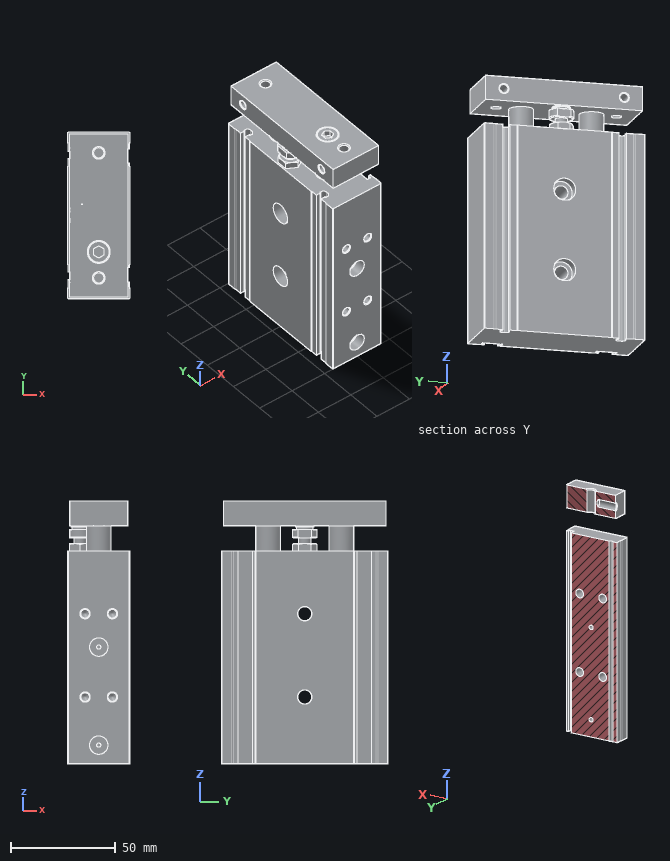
import cadquery as cq
import math


HOUSING_X = 30.0
HOUSING_Y = 80.0
HOUSING_Z = 102.0
CORNER_CHAMFER = 0.4

STRIP_DEPTH = 0.3
STRIP_INNER_Y = 23.3
STRIP_INNER_RAMP = 0.5
STRIP_OUTER_Y = 35.2
STRIP_OUTER_RAMP = 0.9

SENSOR_SLOT_Y = 29.0
SENSOR_SLOT_WIDTH = 3.5
SENSOR_SLOT_CHAMBER_WIDTH = 4.5
SENSOR_SLOT_LIP = 2.8
SENSOR_SLOT_DEPTH = 5.4
SENSOR_FLOOR_RADIUS = 1.8

T_SLOT_Y = 28.5
T_SLOT_WIDTH = 6.9
T_SLOT_CHAMBER_WIDTH = 10.0
T_SLOT_LIP = 1.5
T_SLOT_DEPTH = 3.5

MOUNT_HEIGHTS = (32.0, 72.0)
MOUNT_DIAMETER = 6.7
MOUNT_COUNTERBORE_DIAMETER = 11.0
MOUNT_COUNTERBORE_DEPTH = 6.3
SIDE_HOLE_X = 6.5

PORT_HEIGHTS = (9.0, 56.0)
PORT_DIAMETER = 8.8
PORT_DEPTH = 5.7
PORT_PASSAGE_DIAMETER = 2.0
PORT_PASSAGE_DEPTH = 9.5

TAPPED_DIAMETER = 4.2
TAPPED_MOUTH_DIAMETER = 4.9
TAPPED_DEPTH = 10.0
DRILL_POINT_ANGLE = 118.0

TOTAL_Z = 126.0
PLATE_X = 28.0
PLATE_Y = 78.1
PLATE_Z = 12.0
PLATE_BOTTOM = TOTAL_Z - PLATE_Z
PLATE_HOLE_Y = 30.0
PLATE_HOLE_DIAMETER = 4.9
PLATE_HOLE_MOUTH_DIAMETER = 6.0

ROD_DIAMETER = 12.0
ROD_Y = 17.5

SCREW_HEAD_DIAMETER = 10.0
SCREW_POCKET_DIAMETER = 11.0
SCREW_POCKET_DEPTH = 6.0
SOCKET_ACROSS_FLATS = 5.0
SOCKET_DEPTH = 3.0

BOLT_X = -9.0
COLLAR_DIAMETER = 8.8
COLLAR_HEIGHT = 0.5
NECK_DIAMETER = 8.0
NECK_HEIGHT = 1.3
NUT_DIAMETER = 12.0
NUT_HEIGHT = 4.0
NUT_CHAMFER = 0.5
NUT_ACROSS_FLATS = 10.0
BOLT_DIAMETER = 6.0
BOLT_HEAD_HEIGHT = 3.5
BOLT_HEAD_CORNER_DIAMETER = 12.0


def tapped_hole(diameter, mouth_diameter, depth):
    """Cutter for a blind hole along +Z from the origin: bevelled mouth and drill point."""
    radius = diameter / 2
    mouth_radius = mouth_diameter / 2
    bevel = mouth_radius - radius
    point = radius / math.tan(math.radians(DRILL_POINT_ANGLE / 2))
    return (
        cq.Workplane("XZ")
        .polyline([(0, 0), (mouth_radius, 0), (radius, bevel), (radius, depth), (0, depth + point)])
        .close()
        .revolve(360, (0, 0, 0), (0, 1, 0))
    )


def vertical_cylinder(diameter, bottom, top, x=0.0, y=0.0):
    return cq.Workplane("XY", origin=(x, y, bottom)).circle(diameter / 2).extrude(top - bottom)


def sunk_strip(side):
    """Cutter for the strip at +Y in the broad face on the given side of X (-1 or 1)."""
    face_x = side * HOUSING_X / 2
    floor_x = face_x - side * STRIP_DEPTH
    return (
        cq.Workplane("XY")
        .polyline([
            (face_x, STRIP_INNER_Y),
            (floor_x, STRIP_INNER_Y + STRIP_INNER_RAMP),
            (floor_x, STRIP_OUTER_Y - STRIP_OUTER_RAMP),
            (face_x, STRIP_OUTER_Y),
        ])
        .close()
        .extrude(HOUSING_Z)
    )


def undercut_slot(side, slot_y, mouth_width, chamber_width, lip, depth):
    """Cutter for a slot along Z in the face on the given side of X, wider behind its lips."""
    face_x = side * HOUSING_X / 2
    chamber_x = face_x - side * (lip + depth) / 2
    mouth = (
        cq.Workplane("XY", origin=(face_x, slot_y, 0))
        .rect(2 * lip, mouth_width)
        .extrude(HOUSING_Z)
    )
    chamber = (
        cq.Workplane("XY", origin=(chamber_x, slot_y, 0))
        .rect(depth - lip, chamber_width)
        .extrude(HOUSING_Z)
    )
    return mouth.union(chamber)


def sensor_slot():
    """Cutter for the sensor slot at +Y."""
    slot = undercut_slot(
        -1, SENSOR_SLOT_Y, SENSOR_SLOT_WIDTH, SENSOR_SLOT_CHAMBER_WIDTH, SENSOR_SLOT_LIP, SENSOR_SLOT_DEPTH
    )
    return slot.edges("|Z and >X").fillet(SENSOR_FLOOR_RADIUS)


def t_slot():
    """Cutter for the T-slot at +Y."""
    return undercut_slot(1, T_SLOT_Y, T_SLOT_WIDTH, T_SLOT_CHAMBER_WIDTH, T_SLOT_LIP, T_SLOT_DEPTH)


def mount_hole(height):
    """Cutter for a hole through the housing along X, counterbored from the -X face."""
    start = cq.Workplane("YZ", origin=(-HOUSING_X / 2, 0, height))
    through = start.circle(MOUNT_DIAMETER / 2).extrude(HOUSING_X)
    counterbore = start.circle(MOUNT_COUNTERBORE_DIAMETER / 2).extrude(MOUNT_COUNTERBORE_DEPTH)
    return through.union(counterbore)


def port(height):
    """Cutter for an air port and its narrow passage in the -Y face."""
    start = cq.Workplane("XZ", origin=(0, -HOUSING_Y / 2, height))
    bore = start.circle(PORT_DIAMETER / 2).extrude(-PORT_DEPTH)
    passage = start.circle(PORT_PASSAGE_DIAMETER / 2).extrude(-PORT_PASSAGE_DEPTH)
    return bore.union(passage)


def make_housing():
    body = (
        cq.Workplane("XY")
        .box(HOUSING_X, HOUSING_Y, HOUSING_Z, centered=(True, True, False))
        .edges("|Z")
        .chamfer(CORNER_CHAMFER)
    )
    for groove in (sunk_strip(-1), sunk_strip(1), sensor_slot(), t_slot()):
        body = body.cut(groove).cut(groove.mirror("XZ"))

    side_hole = tapped_hole(TAPPED_DIAMETER, TAPPED_MOUTH_DIAMETER, TAPPED_DEPTH)
    side_hole = side_hole.rotate((0, 0, 0), (1, 0, 0), -90)
    for height in MOUNT_HEIGHTS:
        body = body.cut(mount_hole(height))
        for x in (-SIDE_HOLE_X, SIDE_HOLE_X):
            body = body.cut(side_hole.translate((x, -HOUSING_Y / 2, height)))

    for height in PORT_HEIGHTS:
        body = body.cut(port(height))
    return body


def make_plate():
    plate = cq.Workplane("XY", origin=(0, 0, PLATE_BOTTOM)).box(
        PLATE_X, PLATE_Y, PLATE_Z, centered=(True, True, False)
    )
    face_hole = tapped_hole(TAPPED_DIAMETER, TAPPED_MOUTH_DIAMETER, TAPPED_DEPTH)
    face_hole = face_hole.rotate((0, 0, 0), (0, 1, 0), 90)
    mouth_bevel = (PLATE_HOLE_MOUTH_DIAMETER - PLATE_HOLE_DIAMETER) / 2
    for y in (-PLATE_HOLE_Y, PLATE_HOLE_Y):
        plate = plate.cut(face_hole.translate((-PLATE_X / 2, y, PLATE_BOTTOM + PLATE_Z / 2)))
        through = vertical_cylinder(PLATE_HOLE_DIAMETER, PLATE_BOTTOM, TOTAL_Z, 0, y)
        mouth = cq.Workplane("XY", origin=(0, y, TOTAL_Z)).circle(PLATE_HOLE_MOUTH_DIAMETER / 2)
        plate = plate.cut(through).cut(mouth.extrude(-mouth_bevel, taper=45))
    return plate


def screw_gap():
    """Cutter for the ring-shaped gap around the screw head and for its hexagon socket."""
    top = cq.Workplane("XY", origin=(0, -ROD_Y, TOTAL_Z))
    ring = (
        top.circle(SCREW_POCKET_DIAMETER / 2)
        .circle(SCREW_HEAD_DIAMETER / 2)
        .extrude(-SCREW_POCKET_DEPTH)
    )
    socket = (
        top.polygon(6, SOCKET_ACROSS_FLATS / math.cos(math.radians(30)))
        .extrude(-SOCKET_DEPTH)
        .rotate((0, -ROD_Y, 0), (0, -ROD_Y, 1), 30)
    )
    return ring.union(socket)


def make_stop_bolt():
    """Stop bolt, hanging from the plate with its head on the housing."""
    neck_top = PLATE_BOTTOM - COLLAR_HEIGHT
    nut_top = neck_top - NECK_HEIGHT
    nut_bottom = nut_top - NUT_HEIGHT
    head_top = HOUSING_Z + BOLT_HEAD_HEIGHT

    collar = vertical_cylinder(COLLAR_DIAMETER, neck_top, PLATE_BOTTOM)
    neck = vertical_cylinder(NECK_DIAMETER, nut_top, neck_top)
    shank = vertical_cylinder(BOLT_DIAMETER, head_top, nut_bottom)

    flats = cq.Workplane("XY", origin=(0, 0, nut_bottom)).rect(NUT_ACROSS_FLATS, NUT_DIAMETER)
    nut = vertical_cylinder(NUT_DIAMETER, nut_bottom, nut_top)
    nut = nut.faces("<Z").edges().chamfer(NUT_CHAMFER).intersect(flats.extrude(NUT_HEIGHT))

    head = (
        cq.Workplane("XY", origin=(0, 0, HOUSING_Z))
        .polygon(6, BOLT_HEAD_CORNER_DIAMETER)
        .extrude(BOLT_HEAD_HEIGHT)
        .rotate((0, 0, 0), (0, 0, 1), 30)
    )
    bevel_width = BOLT_HEAD_CORNER_DIAMETER * (1 - math.cos(math.radians(30))) / 2
    bevel_height = bevel_width * math.tan(math.radians(30))
    bevel = vertical_cylinder(BOLT_HEAD_CORNER_DIAMETER, HOUSING_Z, head_top)
    head = head.intersect(bevel.faces(">Z").edges().chamfer(bevel_height, bevel_width))

    bolt = collar.union(neck).union(nut).union(shank).union(head)
    return bolt.translate((BOLT_X, 0, 0))


def make_moving_assembly():
    """End plate with its two guide rods, rod screw and stop bolt, as one solid."""
    assembly = make_plate()
    for y in (-ROD_Y, ROD_Y):
        assembly = assembly.union(vertical_cylinder(ROD_DIAMETER, HOUSING_Z, PLATE_BOTTOM, 0, y))
    return assembly.cut(screw_gap()).union(make_stop_bolt())


housing = make_housing()
moving_assembly = make_moving_assembly()

result = cq.Compound.makeCompound([housing.solids().val(), moving_assembly.solids().val()])